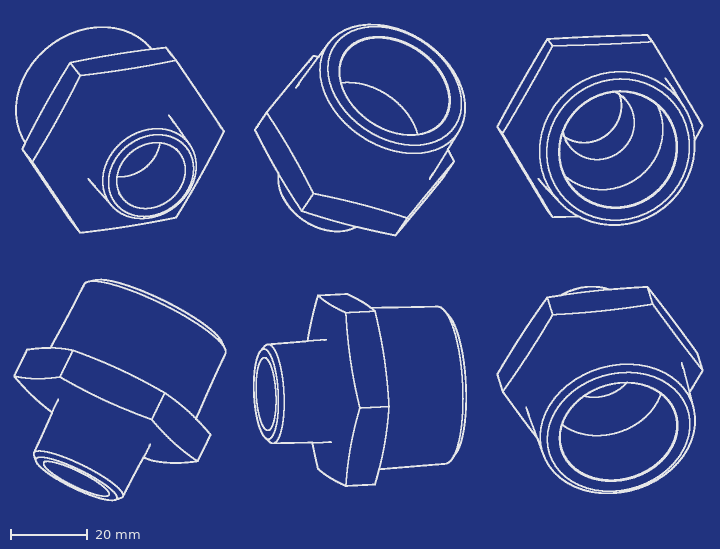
import cadquery as cq
import math


across_corners = 53.1
hex_start = 22.5
hex_width = 9.25
hex_end = hex_start + hex_width
hex_chamfer_angle = 10.0
hex_face_radius = 22.85

total_length = 49.0
pipe_taper = 1 / 16
root_fillet = 0.3

large_radius = 42.3 / 2
large_taper_length = 19.1
large_chamfer_length = 1.4
large_chamfer_height = 1.65

small_radius = 26.75 / 2
small_taper_length = 14.55
small_chamfer_length = 1.2
small_chamfer_height = 1.15

large_bore_radius = 31.0 / 2
small_bore_radius = 19.0 / 2
mouth_chamfer = 0.2
cone_start = 20.5
cone_half_angle = 34.0


def end_body(radius, length, taper_length, chamfer_length, chamfer_height):
    """Turned end with its tip at X = 0 and a root fillet flaring out at X = length."""
    taper_drop = (taper_length - chamfer_length) * pipe_taper / 2
    edge_radius = radius - taper_drop
    fillet_x = length - root_fillet
    fillet_radius = radius + root_fillet
    arc_offset = root_fillet * math.sqrt(0.5)
    return (
        cq.Workplane("XY")
        .lineTo(0, edge_radius - chamfer_height)
        .lineTo(chamfer_length, edge_radius)
        .lineTo(taper_length, radius)
        .lineTo(fillet_x, radius)
        .threePointArc((fillet_x + arc_offset, fillet_radius - arc_offset), (length, fillet_radius))
        .lineTo(length, 0)
        .close()
        .revolve(360, (0, 0), (1, 0))
    )


def hexagon():
    """Hexagon with corners on the Y axis, its corners chamfered on both faces."""
    prism = (
        cq.Workplane("YZ")
        .workplane(offset=hex_start)
        .polygon(6, across_corners)
        .extrude(hex_width)
    )
    corner_radius = across_corners / 2
    setback = (corner_radius - hex_face_radius) * math.tan(math.radians(hex_chamfer_angle))
    envelope = (
        cq.Workplane("XY")
        .moveTo(hex_start, 0)
        .lineTo(hex_start, hex_face_radius)
        .lineTo(hex_start + setback, corner_radius)
        .lineTo(hex_end - setback, corner_radius)
        .lineTo(hex_end, hex_face_radius)
        .lineTo(hex_end, 0)
        .close()
        .revolve(360, (0, 0), (1, 0))
    )
    return prism.intersect(envelope)


def bore():
    """Stepped through bore: chamfered mouth, wide bore, cone and narrow bore."""
    cone_length = (large_bore_radius - small_bore_radius) / math.tan(math.radians(cone_half_angle))
    return (
        cq.Workplane("XY")
        .lineTo(0, large_bore_radius + mouth_chamfer)
        .lineTo(mouth_chamfer, large_bore_radius)
        .lineTo(cone_start, large_bore_radius)
        .lineTo(cone_start + cone_length, small_bore_radius)
        .lineTo(total_length, small_bore_radius)
        .lineTo(total_length, 0)
        .close()
        .revolve(360, (0, 0), (1, 0))
    )


large_end = end_body(
    large_radius, hex_start, large_taper_length, large_chamfer_length, large_chamfer_height
)
small_end = (
    end_body(
        small_radius,
        total_length - hex_end,
        small_taper_length,
        small_chamfer_length,
        small_chamfer_height,
    )
    .mirror("YZ")
    .translate((total_length, 0, 0))
)

result = hexagon().union(large_end).union(small_end).cut(bore())